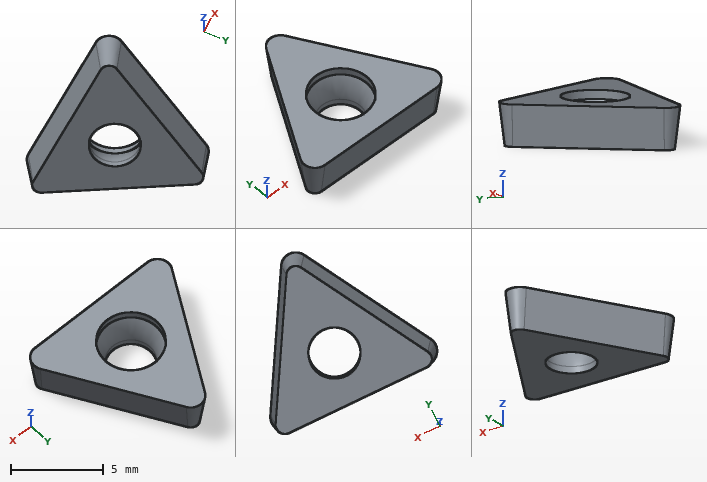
import cadquery as cq
import math

width = 9.83
thickness = 2.38
corner_radius = 0.8
relief_angle = 7.0

mouth_diameter = 3.755
bore_diameter = 2.8
mouth_depth = 0.5
seat_radius = 2.5

center_spacing = width - 2 * corner_radius
center_distance = center_spacing / math.sqrt(3)
base_corner_radius = corner_radius - thickness * math.tan(math.radians(relief_angle))


def rounded_triangle(radius, height):
    """Closed outline of the plate at a height, one corner pointing to +Y."""

    def corner_point(corner_angle, arc_angle):
        corner = math.radians(corner_angle)
        arc = math.radians(arc_angle)
        return (
            center_distance * math.cos(corner) + radius * math.cos(arc),
            center_distance * math.sin(corner) + radius * math.sin(arc),
        )

    outline = cq.Workplane("XY", origin=(0, 0, height)).moveTo(*corner_point(90, 30))
    for angle in (90, 210, 330):
        start = corner_point(angle, angle - 60)
        if angle != 90:
            outline = outline.lineTo(*start)
        outline = outline.threePointArc(corner_point(angle, angle), corner_point(angle, angle + 60))
    return outline.close().wire().val()


def plate():
    base = rounded_triangle(base_corner_radius, 0)
    top = rounded_triangle(corner_radius, thickness)
    return cq.Workplane(cq.Solid.makeLoft([base, top], True))


def screw_hole():
    """Revolved cutter; the convex seat arc runs tangentially into the bore."""
    mouth_radius = mouth_diameter / 2
    bore_radius = bore_diameter / 2
    arc_center_x = bore_radius + seat_radius
    start_angle = math.acos((arc_center_x - mouth_radius) / seat_radius)
    seat_top = thickness - mouth_depth
    seat_bottom = seat_top - seat_radius * math.sin(start_angle)

    def seat_point(angle):
        return (
            arc_center_x - seat_radius * math.cos(angle),
            seat_bottom + seat_radius * math.sin(angle),
        )

    return (
        cq.Workplane("XZ")
        .moveTo(0, thickness)
        .lineTo(mouth_radius, thickness)
        .lineTo(mouth_radius, seat_top)
        .threePointArc(seat_point(start_angle / 2), seat_point(0))
        .lineTo(bore_radius, 0)
        .lineTo(0, 0)
        .close()
        .revolve(360, (0, 0, 0), (0, 1, 0))
    )


result = plate().cut(screw_hole())